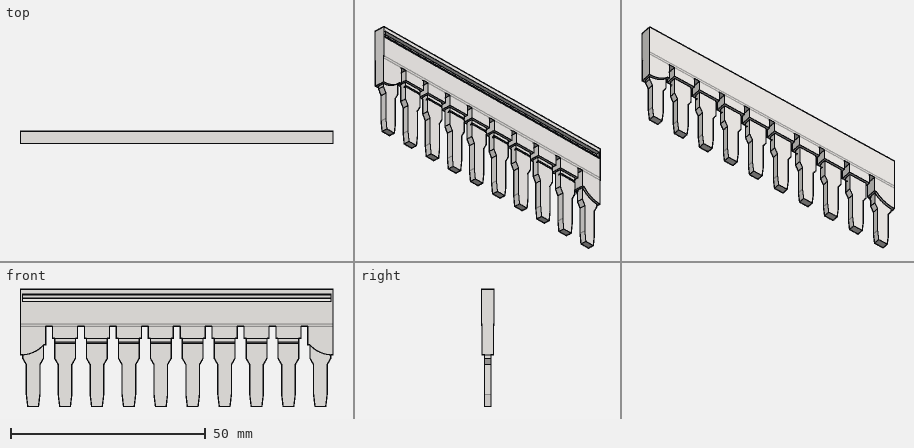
import cadquery as cq

length = 80.3
thickness = 3.2
height = 30.1

lip_overhang = 0.04
rail_length = length - 2 * lip_overhang
rail_bottom = height - 9.55
step_top = height - 8.9
step_setback = 0.1

groove_end_margin = 0.6
groove_top = height - 1.2
groove_wall_top = height - 1.45
groove_wall_bottom = height - 2.25
groove_sill_top = height - 2.3
groove_bottom = height - 3.1
groove_depth = 0.9
groove_sill_depth = 0.5

pin_count = 10
pin_pitch = 8.2
pin_end_margin = (length - (pin_count - 1) * pin_pitch) / 2
pin_thickness = 1.8
shoulder_width = 5.4
shank_width = 3.5
tip_width = 2.8
shoulder_bottom = height - 17.75
shank_top = height - 19.35
tip_top = height - 27.1

notch_top = height - 13.6
notch_bottom = height - 14.0
notch_depth = 0.6

block_width = 6.5
block_thickness = thickness - 2 * step_setback
block_bottom = height - 12.6
end_block_width = pin_end_margin + block_width / 2
end_block_bottom = height - 16.9
end_block_inner_bottom = height - 14.3
end_block_flat = 0.2
end_block_arc_end = pin_end_margin + shoulder_width / 2

rail_front = -thickness / 2
step_front = rail_front + step_setback


def side_prism(section, x_start, x_length):
    """Extrude a (Y, Z) section along X."""
    return cq.Workplane("YZ", origin=(x_start, 0, 0)).polyline(section).close().extrude(x_length)


def make_rail():
    """Rail whose front and back slope inwards just above its underside."""
    front_edge = [(rail_front, height), (rail_front, step_top), (step_front, rail_bottom)]
    back_edge = [(-y, z) for y, z in reversed(front_edge)]
    return side_prism(front_edge + back_edge, lip_overhang, rail_length)


def make_lip():
    """Thin wedge in line with the front slope, running past both rail ends."""
    section = [(rail_front, step_top), (step_front, step_top), (step_front, rail_bottom)]
    return side_prism(section, 0, length)


def make_groove():
    """Cutter for the grip groove: steep roof, upright wall, ledge and sloping sill."""
    wall = rail_front + groove_depth
    section = [
        (rail_front, groove_top),
        (wall, groove_wall_top),
        (wall, groove_wall_bottom),
        (rail_front + groove_sill_depth, groove_sill_top),
        (rail_front, groove_bottom),
    ]
    return side_prism(section, groove_end_margin, length - 2 * groove_end_margin)


def make_pin(center_x):
    """Flat pin with a wide shoulder, a narrower shank and a tapered tip."""
    half_profile = [
        (shoulder_width / 2, rail_bottom),
        (shoulder_width / 2, shoulder_bottom),
        (shank_width / 2, shank_top),
        (shank_width / 2, tip_top),
        (tip_width / 2, 0),
    ]
    right_side = [(center_x + x, z) for x, z in half_profile]
    left_side = [(center_x - x, z) for x, z in reversed(half_profile)]
    outline = cq.Workplane("XZ").polyline(right_side + left_side).close()
    return outline.extrude(pin_thickness / 2, both=True)


def make_notch(center_x):
    """Cutter for a pin notch with a sloping roof and a level floor."""
    pin_front = -pin_thickness / 2
    section = [
        (pin_front, notch_top),
        (pin_front + notch_depth, notch_bottom),
        (pin_front, notch_bottom),
    ]
    return side_prism(section, center_x - shoulder_width / 2, shoulder_width)


def make_block(center_x):
    """Rectangular block around the root of an inner pin."""
    block_height = rail_bottom - block_bottom
    block = cq.Workplane("XY").box(block_width, block_thickness, block_height)
    return block.translate((center_x, 0, block_bottom + block_height / 2))


def make_end_block():
    """Deeper block at the low-X end, cut away by an arc towards the inner pins."""
    outline = (
        cq.Workplane("XZ")
        .moveTo(end_block_width, rail_bottom)
        .lineTo(lip_overhang, rail_bottom)
        .lineTo(lip_overhang, end_block_bottom)
        .lineTo(lip_overhang + end_block_flat, end_block_bottom)
        .tangentArcPoint((end_block_arc_end, end_block_inner_bottom), relative=False)
        .lineTo(end_block_width, end_block_inner_bottom)
        .close()
    )
    return outline.extrude(block_thickness / 2, both=True)


pin_centers = [pin_end_margin + i * pin_pitch for i in range(pin_count)]

result = make_rail().cut(make_groove()).union(make_lip())

for center in pin_centers:
    result = result.union(make_pin(center))

for center in pin_centers[1:-1]:
    result = result.cut(make_notch(center)).union(make_block(center))

end_block = make_end_block()
result = result.union(end_block)
result = result.union(end_block.mirror("YZ", (length / 2, 0, 0)))